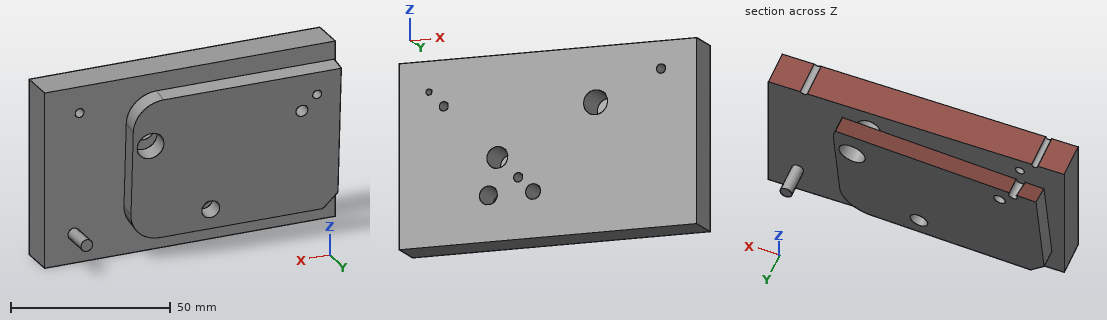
import cadquery as cq

base_length = 100.0
base_height = 60.0
base_thickness = 12.0

lone_holes = [(33.0, 27.0, 7.0), (40.0, 20.0, 3.0), (30.0, 15.0, 6.0), (88.0, 51.0, 3.0)]
shared_holes = [(10.0, 50.0, 2.0), (15.0, 45.0, 3.0), (45.0, 15.0, 5.0), (66.0, 42.0, 8.0)]

pin_x = 90.0
pin_z = 10.0
pin_diameter = 4.0
pin_length = 10.0

cover_length = 70.0
cover_height = 50.0
cover_thickness = 6.0
cover_corner_radius = 10.0
cover_chamfer = 5.0
hole_clearance = 1.0
pattern_shift_x = 2.0
pattern_shift_z = 8.0

cover_spin = 1.2
cover_lean = -6.7
cover_swing = -2.5
cover_corner = (2.8, 14.6, 8.2)


def cylinder_along_y(x, z, diameter, start_y, length):
    """Round bar from start_y toward +Y."""
    return cq.Workplane(
        cq.Solid.makeCylinder(diameter / 2, length, cq.Vector(x, start_y, z), cq.Vector(0, 1, 0))
    )


def make_base():
    """Rectangular plate with round through holes and a stop pin on its back."""
    base = cq.Workplane("XY").box(base_length, base_thickness, base_height, centered=False)
    for x, z, diameter in lone_holes + shared_holes:
        base = base.cut(cylinder_along_y(x, z, diameter, 0, base_thickness))
    pin = cylinder_along_y(pin_x, pin_z, pin_diameter, base_thickness, pin_length)
    return base.union(pin)


def make_cover():
    """Plate with two rounded corners, one chamfered corner and holes matching the base, tilted."""
    cover = cq.Workplane("XY").box(cover_length, cover_thickness, cover_height, centered=False)
    cover = cover.edges("|Y and >X").fillet(cover_corner_radius)
    cover = cover.edges("|Y and <X and <Z").chamfer(cover_chamfer)
    for x, z, diameter in shared_holes:
        hole = cylinder_along_y(
            x - pattern_shift_x, z - pattern_shift_z, diameter + hole_clearance, 0, cover_thickness
        )
        cover = cover.cut(hole)
    origin = (0, 0, 0)
    cover = cover.rotate(origin, (0, 1, 0), cover_spin)
    cover = cover.rotate(origin, (1, 0, 0), cover_lean)
    cover = cover.rotate(origin, (0, 0, 1), cover_swing)
    return cover.translate(cover_corner)


cover = make_cover()
base = make_base().cut(cover)

result = cq.Compound.makeCompound([base.solids().val(), cover.solids().val()])